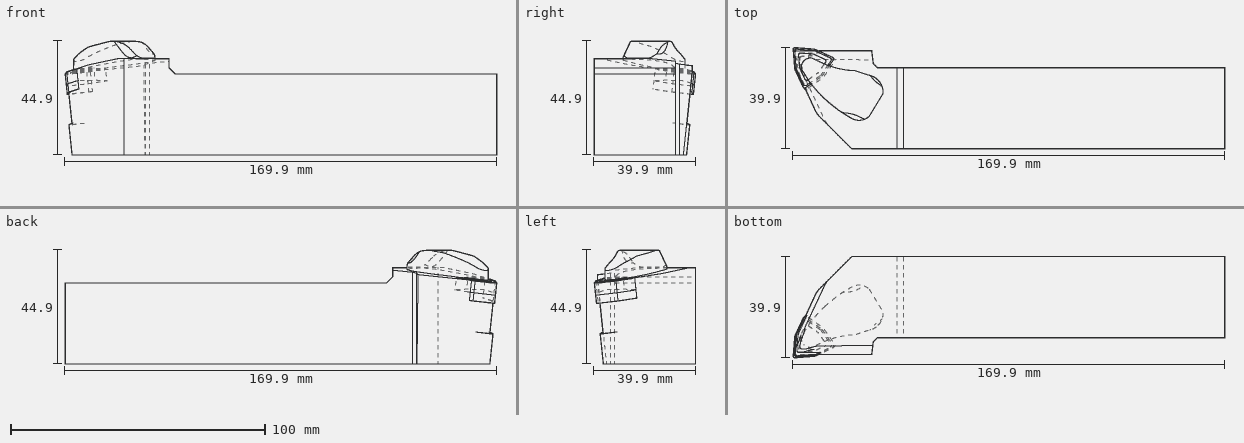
import cadquery as cq
import math

TOOL_LENGTH = 169.93
SHANK_SIZE = 32.0

HEAD_TOP = 38.05
HEAD_STEP_X = 41.0
STEP_CHAMFER = 2.4
HEAD_SIDE_Y = 38.65
HEAD_SHOULDER_X = 31.0
SHOULDER_SLANT = 0.6
SHOULDER_CHAMFER = 1.6
HEAD_DEPTH = 60.0

SEAT_TILT = 6.0
SEAT_X = 6.835
SEAT_Y = 33.09
SEAT_Z = 33.3

INSERT_CIRCLE_RADIUS = 6.35
INSERT_THICKNESS = 4.76
NOSE_RADIUS = 0.8
HALF_NOSE_ANGLE = 40.0
ISLAND_INSET = 2.0
LAND_WIDTH = 0.6
GROOVE_DEPTH = 0.2
ISLAND_HEIGHT = 0.35
SHIM_THICKNESS = 3.3

LEAD_WALL = 230.0
TRAIL_WALL = 250.0
EDGE_WALL = 260.0
BACK_WALL = 270.0
SIDE_WALL = 135.0
WALL_DISTANCE = INSERT_CIRCLE_RADIUS - 0.5
EDGE_DISTANCE = 8.85
BACK_DISTANCE = 11.88
SIDE_DISTANCE = HEAD_SIDE_Y - SEAT_Y
HEAD_NOSE_RADIUS = 0.8
NOSE_REACH = 70.0

FOOT_DROP = 20.2
FOOT_OFFSET = 1.15
FOOT_LAND = 1.6
FOOT_RUNOUT = 6.0

CLAMP_X = 6.6
CLAMP_Y = 33.1
CLAMP_ANGLE = -31.0
CLAMP_BOTTOM = 31.0
CLAMP_HEIGHT = 20.0
CLAMP_LENGTH = 30.5
HEEL_WIDTH = 10.4
NOSE_LEFT = (-0.5, 2.7)
NOSE_FRONT = (-2.9, -0.8)
NOSE_RIGHT = (-0.4, -3.9)
RIGHT_FLANK_START = (2.6, -5.5)
RIGHT_FLANK_MIDDLE = (13.0, -8.7)
RIGHT_FLANK_END = (25.0, -9.6)
RIGHT_HEEL = (28.5, -8.3)
LEFT_HEEL = (27.2, 8.3)
LEFT_FLANK_END = (21.8, 8.4)
LEFT_HOLLOW_END = (16.5, 7.2)
LEFT_HOLLOW_MIDDLE = (10.0, 4.4)
LEFT_HOLLOW_START = (4.3, 3.2)
CLAMP_RISE = 0.2
HUMP_REACH = 18.1
HUMP_Z = 44.77
HUMP_MIDDLE = (22.6, 44.4)
HEEL_REACH = 26.5
HEEL_TOP_Z = 42.0
HEEL_END_Z = 38.3
FACET_ANGLE = -45.0
FRONT_REACH = -2.8
FRONT_Z = 36.9
FACET_REACH = 2.4
FACET_Z = 39.8
FACET_RISE = 0.44
HEEL_SIDE_ANGLE = 59.0
HEEL_SIDE_REACH = 20.8
HEEL_SIDE_Z = 40.6
HEEL_SIDE_SLOPE = 25.0


def polar(radius, angle):
    return (radius * math.cos(math.radians(angle)), radius * math.sin(math.radians(angle)))


def shifted(point, radius, angle):
    step = polar(radius, angle)
    return (point[0] + step[0], point[1] + step[1])


def wall_corner(angle_a, distance_a, angle_b, distance_b):
    """Point where two walls meet, each given by its normal and its distance."""
    ax, ay = polar(1, angle_a)
    bx, by = polar(1, angle_b)
    cross = ax * by - ay * bx
    return ((distance_a * by - distance_b * ay) / cross, (distance_b * ax - distance_a * bx) / cross)


def seat_plane(drop=0.0):
    """Plane of the insert seat, local X running diagonally back into the head."""
    slope = math.tan(math.radians(SEAT_TILT))
    plane = cq.Plane(
        origin=(SEAT_X, SEAT_Y, SEAT_Z),
        xDir=(1, -1, 2 * slope),
        normal=(-slope, slope, 1),
    )
    plane.origin = plane.toWorldCoords((0, 0, -drop))
    return cq.Workplane(plane)


def trigon(workplane, inset=0.0):
    """Closed trigon outline: three rounded corners with a blunt corner between each pair."""
    inner_radius = INSERT_CIRCLE_RADIUS - inset
    round_radius = NOSE_RADIUS
    round_reach = (inner_radius - round_radius) / math.sin(math.radians(HALF_NOSE_ANGLE))
    normal_swing = 90 - HALF_NOSE_ANGLE
    blunt_reach = inner_radius / math.cos(math.radians(60 - normal_swing))
    outline = workplane
    for index in range(3):
        direction = 60 + 120 * index
        center = polar(round_reach, direction)
        start = shifted(center, round_radius, direction - normal_swing)
        outline = outline.moveTo(*start) if index == 0 else outline.lineTo(*start)
        outline = outline.threePointArc(
            shifted(center, round_radius, direction),
            shifted(center, round_radius, direction + normal_swing),
        )
        outline = outline.lineTo(*polar(blunt_reach, direction + 60))
    return outline.close()


def make_insert():
    plate = trigon(seat_plane(INSERT_THICKNESS)).extrude(INSERT_THICKNESS)
    island = trigon(seat_plane(), ISLAND_INSET).extrude(ISLAND_HEIGHT)
    groove = trigon(seat_plane(GROOVE_DEPTH), LAND_WIDTH).extrude(GROOVE_DEPTH)
    core = trigon(seat_plane(GROOVE_DEPTH), ISLAND_INSET).extrude(GROOVE_DEPTH)
    return plate.cut(groove.cut(core)).union(island)


def make_shim():
    return trigon(seat_plane(INSERT_THICKNESS + SHIM_THICKNESS)).extrude(SHIM_THICKNESS)


def make_shank():
    return cq.Workplane("XY").box(
        TOOL_LENGTH - HEAD_SHOULDER_X, SHANK_SIZE, SHANK_SIZE, centered=False
    ).translate((HEAD_SHOULDER_X, 0, 0))


def make_head_block():
    """Upright profile with the step to the shank, trimmed by the plan with the side shoulder."""
    back = (
        cq.Workplane("XZ")
        .moveTo(-FOOT_OFFSET, 0)
        .lineTo(HEAD_STEP_X + STEP_CHAMFER, 0)
        .lineTo(HEAD_STEP_X + STEP_CHAMFER, SHANK_SIZE)
        .lineTo(HEAD_STEP_X, SHANK_SIZE + STEP_CHAMFER)
        .lineTo(HEAD_STEP_X, HEAD_TOP)
        .lineTo(-FOOT_OFFSET, HEAD_TOP)
        .close()
        .extrude(-HEAD_DEPTH)
    )
    shoulder_x = HEAD_SHOULDER_X + SHOULDER_SLANT
    above = (
        cq.Workplane("XY")
        .moveTo(-FOOT_OFFSET, 0)
        .lineTo(HEAD_DEPTH, 0)
        .lineTo(HEAD_DEPTH, SHANK_SIZE)
        .lineTo(shoulder_x + SHOULDER_CHAMFER, SHANK_SIZE)
        .lineTo(shoulder_x, SHANK_SIZE + SHOULDER_CHAMFER)
        .lineTo(HEAD_SHOULDER_X, HEAD_SIDE_Y)
        .lineTo(-FOOT_OFFSET, HEAD_SIDE_Y)
        .close()
        .extrude(HEAD_DEPTH)
    )
    return back.intersect(above)


def nose_round(lead_distance, side_distance):
    """Start, middle and end of the arc that rounds the corner of the lead and side walls."""
    center = wall_corner(
        LEAD_WALL, lead_distance - HEAD_NOSE_RADIUS, SIDE_WALL, side_distance - HEAD_NOSE_RADIUS
    )
    normals = (LEAD_WALL, (LEAD_WALL + SIDE_WALL) / 2, SIDE_WALL)
    return [shifted(center, HEAD_NOSE_RADIUS, normal) for normal in normals]


def make_nose():
    """Prism square to the seat whose walls follow the insert."""
    round_start, round_middle, round_end = nose_round(WALL_DISTANCE, SIDE_DISTANCE)
    return (
        seat_plane(HEAD_DEPTH)
        .moveTo(NOSE_REACH, -BACK_DISTANCE)
        .lineTo(*wall_corner(BACK_WALL, BACK_DISTANCE, EDGE_WALL, EDGE_DISTANCE))
        .lineTo(*wall_corner(EDGE_WALL, EDGE_DISTANCE, TRAIL_WALL, WALL_DISTANCE))
        .lineTo(*polar(WALL_DISTANCE, TRAIL_WALL))
        .threePointArc(
            polar(WALL_DISTANCE, (LEAD_WALL + TRAIL_WALL) / 2), polar(WALL_DISTANCE, LEAD_WALL)
        )
        .lineTo(*round_start)
        .threePointArc(round_middle, round_end)
        .lineTo(*shifted(polar(SIDE_DISTANCE, SIDE_WALL), NOSE_REACH, SIDE_WALL - 90))
        .close()
        .extrude(HEAD_DEPTH)
    )


def make_foot():
    """Low thickening around the nose that runs out into both walls."""
    lead_start, round_middle, side_start = nose_round(
        WALL_DISTANCE + FOOT_OFFSET, SIDE_DISTANCE + FOOT_OFFSET
    )
    lead_direction = LEAD_WALL + 90
    side_direction = SIDE_WALL - 90
    lead_end = shifted(lead_start, FOOT_RUNOUT, lead_direction)
    side_end = shifted(side_start, FOOT_RUNOUT, side_direction)
    return (
        seat_plane(HEAD_DEPTH)
        .moveTo(*lead_start)
        .threePointArc(round_middle, side_start)
        .lineTo(*shifted(side_start, FOOT_LAND, side_direction))
        .lineTo(*shifted(side_end, -FOOT_OFFSET, SIDE_WALL))
        .lineTo(*shifted(lead_end, -FOOT_OFFSET, LEAD_WALL))
        .lineTo(*shifted(lead_start, FOOT_LAND, lead_direction))
        .close()
        .extrude(HEAD_DEPTH - FOOT_DROP)
    )


def clamp_profile(angle, outline):
    """Upright slab through the clamp nose along one direction, below the outline given as
    points of reach and height."""
    plane = cq.Plane(
        origin=(CLAMP_X, CLAMP_Y, 0),
        xDir=(*polar(1, angle), 0),
        normal=(*polar(1, angle - 90), 0),
    )
    return outline(cq.Workplane(plane)).close().extrude(CLAMP_LENGTH, both=True)


def clamp_plan():
    plan = cq.Plane(
        origin=(CLAMP_X, CLAMP_Y, CLAMP_BOTTOM), xDir=(*polar(1, CLAMP_ANGLE), 0), normal=(0, 0, 1)
    )
    half_heel = HEEL_WIDTH / 2
    return (
        cq.Workplane(plan)
        .moveTo(*NOSE_LEFT)
        .threePointArc(NOSE_FRONT, NOSE_RIGHT)
        .lineTo(*RIGHT_FLANK_START)
        .threePointArc(RIGHT_FLANK_MIDDLE, RIGHT_FLANK_END)
        .threePointArc(RIGHT_HEEL, (CLAMP_LENGTH, -half_heel))
        .lineTo(CLAMP_LENGTH, half_heel)
        .threePointArc(LEFT_HEEL, LEFT_FLANK_END)
        .lineTo(*LEFT_HOLLOW_END)
        .threePointArc(LEFT_HOLLOW_MIDDLE, LEFT_HOLLOW_START)
        .close()
        .extrude(CLAMP_HEIGHT)
    )


def back_outline(workplane):
    """Gentle rise, rounded hump and sloping heel, along the clamp axis."""
    front = -CLAMP_LENGTH
    front_z = HUMP_Z + CLAMP_RISE * (front - HUMP_REACH)
    return (
        workplane
        .moveTo(front, 0)
        .lineTo(front, front_z)
        .lineTo(HUMP_REACH, HUMP_Z)
        .threePointArc(HUMP_MIDDLE, (HEEL_REACH, HEEL_TOP_Z))
        .lineTo(CLAMP_LENGTH, HEEL_END_Z)
        .lineTo(CLAMP_LENGTH, 0)
    )


def front_outline(workplane):
    """Two facets that climb from the clamp nose, along the insert diagonal."""
    first_slope = (FACET_Z - FRONT_Z) / (FACET_REACH - FRONT_REACH)
    return (
        workplane
        .moveTo(-CLAMP_LENGTH, 0)
        .lineTo(-CLAMP_LENGTH, FACET_Z - first_slope * (FACET_REACH + CLAMP_LENGTH))
        .lineTo(FACET_REACH, FACET_Z)
        .lineTo(2 * CLAMP_LENGTH, FACET_Z + FACET_RISE * (2 * CLAMP_LENGTH - FACET_REACH))
        .lineTo(2 * CLAMP_LENGTH, 0)
    )


def make_clamp():
    """Plan trimmed by the top faces and by a leaning cut on each side of the heel."""
    clamp = clamp_plan().intersect(clamp_profile(CLAMP_ANGLE, back_outline))
    clamp = clamp.intersect(clamp_profile(FACET_ANGLE, front_outline))
    lean = math.radians(HEEL_SIDE_SLOPE)
    for side in (-1, 1):
        facing = CLAMP_ANGLE + side * HEEL_SIDE_ANGLE
        spot = shifted((CLAMP_X, CLAMP_Y), HEEL_SIDE_REACH, facing)
        face = cq.Plane(
            origin=(*spot, HEEL_SIDE_Z),
            xDir=(*polar(1, facing + 90), 0),
            normal=(*polar(math.cos(lean), facing), math.sin(lean)),
        )
        waste = cq.Workplane(face).rect(2 * CLAMP_LENGTH, 2 * CLAMP_LENGTH).extrude(CLAMP_LENGTH)
        clamp = clamp.cut(waste)
    return clamp


insert = make_insert()
nose = make_nose().union(make_foot())
holder = make_head_block().intersect(nose).union(make_shank())
holder = holder.union(make_shim()).union(make_clamp()).cut(insert)

result = cq.Compound.makeCompound([holder.solids().val(), insert.solids().val()])